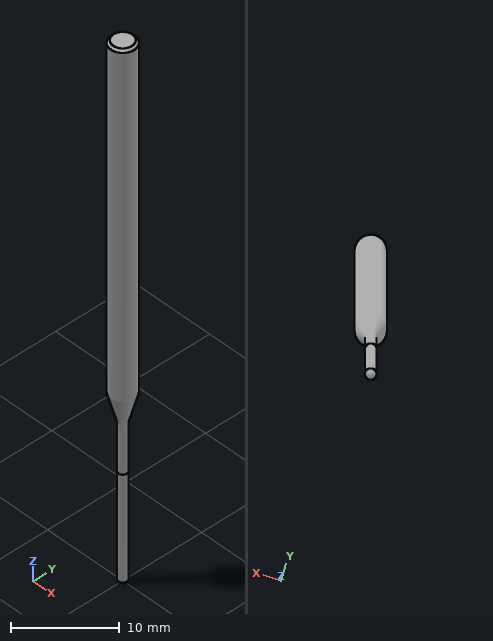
import cadquery as cq
import math

overall_length = 65.0

drill_radius = 0.55
drill_length = 13.2
point_angle = 140.0
point_height = drill_radius / math.tan(math.radians(point_angle / 2))

neck_radius = drill_radius
shank_radius = 1.5
shank_bottom = 22.7
taper_half_angle = 15.0
taper_height = (shank_radius - neck_radius) / math.tan(math.radians(taper_half_angle))
taper_bottom = shank_bottom - taper_height
end_chamfer = 0.3


def make_drill():
    """Plain cylinder with a conical point, revolved about Z from a profile on the -X side."""
    return (
        cq.Workplane("XZ")
        .moveTo(0, 0)
        .lineTo(-drill_radius, point_height)
        .lineTo(-drill_radius, drill_length)
        .lineTo(0, drill_length)
        .close()
        .revolve(360, (0, 0, 0), (0, 1, 0))
    )


def make_holder():
    """Neck, taper and chamfered shank, revolved about Z from a profile on the -Y side."""
    return (
        cq.Workplane("YZ")
        .moveTo(0, drill_length)
        .lineTo(-neck_radius, drill_length)
        .lineTo(-neck_radius, taper_bottom)
        .lineTo(-shank_radius, shank_bottom)
        .lineTo(-shank_radius, overall_length - end_chamfer)
        .lineTo(-shank_radius + end_chamfer, overall_length)
        .lineTo(0, overall_length)
        .close()
        .revolve(360, (0, 0, 0), (0, 1, 0))
    )


drill = make_drill()
holder = make_holder()

result = cq.Compound.makeCompound([drill.val(), holder.val()])